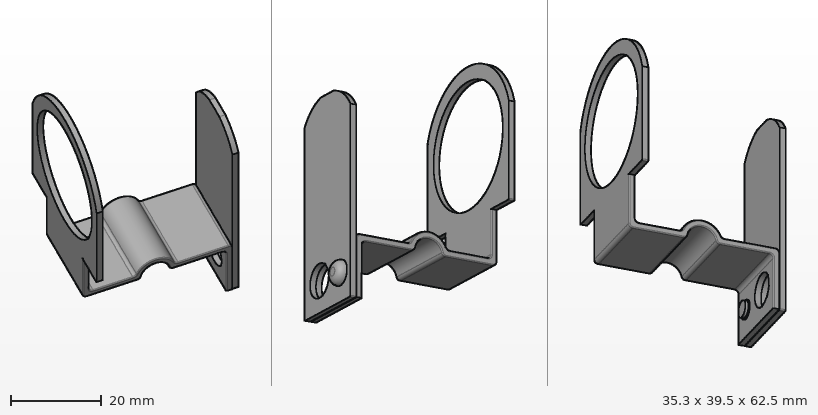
import cadquery as cq
import math

thickness = 1.5
strip_width = 20.0
half_width = strip_width / 2
bend_radius = 1.0
edge_rounding = 0.25
corner_radius = 0.3

joint_y = 36.0
shelf_top = 15.0
shelf_bottom = shelf_top - thickness
leg_bottom = 0.1
saddle_y = 17.5
saddle_outer_radius = 5.0
saddle_inner_radius = saddle_outer_radius - thickness
saddle_top = shelf_bottom + saddle_outer_radius
tab_width = 35.3
tab_bottom = 26.5
total_height = 62.45
ring_inner_diameter = 30.0
ring_outer_radius = 18.5
ring_z = total_height - ring_outer_radius

plate_back_y = joint_y + thickness
plate_top = 49.95
arch_radius = 11.85
arch_z = 38.4

rivet_x = -5.5
rivet_z = 6.75
shank_diameter = 4.5
tip_diameter = 4.0
collar_length = 0.25
tip_length = 1.0
head_diameter = 6.0
head_height = 2.0
hole_x = 3.5
hole_z = 7.5
hole_diameter = 8.0


def cylinder_along_y(x, z, diameter, y_start, y_end):
    """Solid cylinder whose axis runs along Y."""
    plane = cq.Plane(origin=(x, y_start, z), xDir=(1, 0, 0), normal=(0, 1, 0))
    return cq.Workplane(plane).circle(diameter / 2).extrude(y_end - y_start)


def sheet_along_y(outline, y_start):
    """Extrude an XZ outline one sheet thickness toward +Y."""
    return outline.extrude(-thickness).translate((0, y_start, 0))


def make_strip():
    """Bent strip from the leg's free end to the underside of the ring tab."""
    inner_leg_y = joint_y - thickness
    sheet = (
        cq.Workplane("YZ")
        .moveTo(0, tab_bottom)
        .lineTo(0, shelf_bottom)
        .lineTo(saddle_y - saddle_inner_radius, shelf_bottom)
        .threePointArc((saddle_y, shelf_bottom + saddle_inner_radius),
                       (saddle_y + saddle_inner_radius, shelf_bottom))
        .lineTo(inner_leg_y, shelf_bottom)
        .lineTo(inner_leg_y, leg_bottom)
        .lineTo(joint_y, leg_bottom)
        .lineTo(joint_y, shelf_top)
    )
    foot = math.sqrt(saddle_outer_radius**2 - thickness**2)
    sheet = (
        sheet.lineTo(saddle_y + foot, shelf_top)
        .threePointArc((saddle_y, saddle_top), (saddle_y - foot, shelf_top))
        .lineTo(thickness, shelf_top)
        .lineTo(thickness, tab_bottom)
        .close()
        .extrude(half_width, both=True)
    )

    def corner(y, z):
        return cq.selectors.NearestToPointSelector((0, y, z))

    bends = [(0, shelf_bottom), (thickness, shelf_top), (joint_y, shelf_top), (inner_leg_y, shelf_bottom)]
    saddle_feet = [(saddle_y + side * foot, shelf_top) for side in (-1, 1)]
    saddle_lips = [(saddle_y + side * saddle_inner_radius, shelf_bottom) for side in (-1, 1)]
    for y, z in bends + saddle_feet + saddle_lips:
        sheet = sheet.edges("|X").edges(corner(y, z)).fillet(bend_radius)

    side_edges = sheet.faces("<X or >X").edges()
    end_edges = sheet.faces("<Z or >Z").edges().vals()
    rounded = side_edges.newObject(
        [edge for edge in side_edges.vals() if not any(edge.isSame(end) for end in end_edges)]
    )
    return rounded.fillet(edge_rounding)


def make_ring_tab():
    """Wide tab with a round top and a large round opening."""
    half_tab = tab_width / 2
    shoulder_z = ring_z + math.sqrt(ring_outer_radius**2 - half_tab**2)
    outline = (
        cq.Workplane("XZ")
        .moveTo(-half_tab, tab_bottom)
        .lineTo(half_tab, tab_bottom)
        .lineTo(half_tab, shoulder_z)
        .threePointArc((0, total_height), (-half_tab, shoulder_z))
        .close()
    )
    tab = sheet_along_y(outline, 0).edges("|Y and <Z").fillet(corner_radius)
    return tab.cut(cylinder_along_y(0, ring_z, ring_inner_diameter, 0, thickness))


def make_back_plate():
    """Flat plate with two arcs running up to a short level top."""
    shoulder_z = arch_z + math.sqrt(arch_radius**2 - half_width**2)
    half_top = math.sqrt(arch_radius**2 - (plate_top - arch_z)**2)
    middle_angle = (math.atan2(shoulder_z - arch_z, half_width) + math.atan2(plate_top - arch_z, half_top)) / 2
    middle_x = arch_radius * math.cos(middle_angle)
    middle_z = arch_z + arch_radius * math.sin(middle_angle)
    outline = (
        cq.Workplane("XZ")
        .moveTo(-half_width, 0)
        .lineTo(half_width, 0)
        .lineTo(half_width, shoulder_z)
        .threePointArc((middle_x, middle_z), (half_top, plate_top))
        .lineTo(-half_top, plate_top)
        .threePointArc((-middle_x, middle_z), (-half_width, shoulder_z))
        .close()
    )
    return sheet_along_y(outline, joint_y).edges("|Y and <Z").fillet(corner_radius)


def make_rivet():
    """Round-edged head, shank through both sheets and a stepped tip."""
    shank_radius = shank_diameter / 2
    head_radius = head_diameter / 2
    tip_radius = tip_diameter / 2
    collar_y = joint_y - thickness - collar_length
    tip_y = joint_y - thickness - tip_length
    crown_y = plate_back_y + head_height
    crown_flat_radius = head_radius - head_height
    dome_middle = (
        crown_flat_radius + head_height * math.cos(math.pi / 4),
        plate_back_y + head_height * math.sin(math.pi / 4),
    )
    return (
        cq.Workplane("XY")
        .moveTo(0, tip_y)
        .lineTo(tip_radius, tip_y)
        .lineTo(tip_radius, collar_y)
        .lineTo(shank_radius, collar_y)
        .lineTo(shank_radius, plate_back_y)
        .lineTo(head_radius, plate_back_y)
        .threePointArc(dome_middle, (crown_flat_radius, crown_y))
        .lineTo(0, crown_y)
        .close()
        .revolve(360, (0, 0, 0), (0, 1, 0))
        .translate((rivet_x, 0, rivet_z))
    )


leg_front_y = joint_y - thickness
rivet_hole = cylinder_along_y(rivet_x, rivet_z, shank_diameter, leg_front_y, plate_back_y)
open_hole = cylinder_along_y(hole_x, hole_z, hole_diameter, leg_front_y, plate_back_y)

bracket = make_strip().union(make_ring_tab()).cut(rivet_hole).cut(open_hole)
back_plate = make_back_plate().cut(rivet_hole).cut(open_hole)
rivet = make_rivet()

result = cq.Compound.makeCompound([bracket.val(), back_plate.val(), rivet.val()])